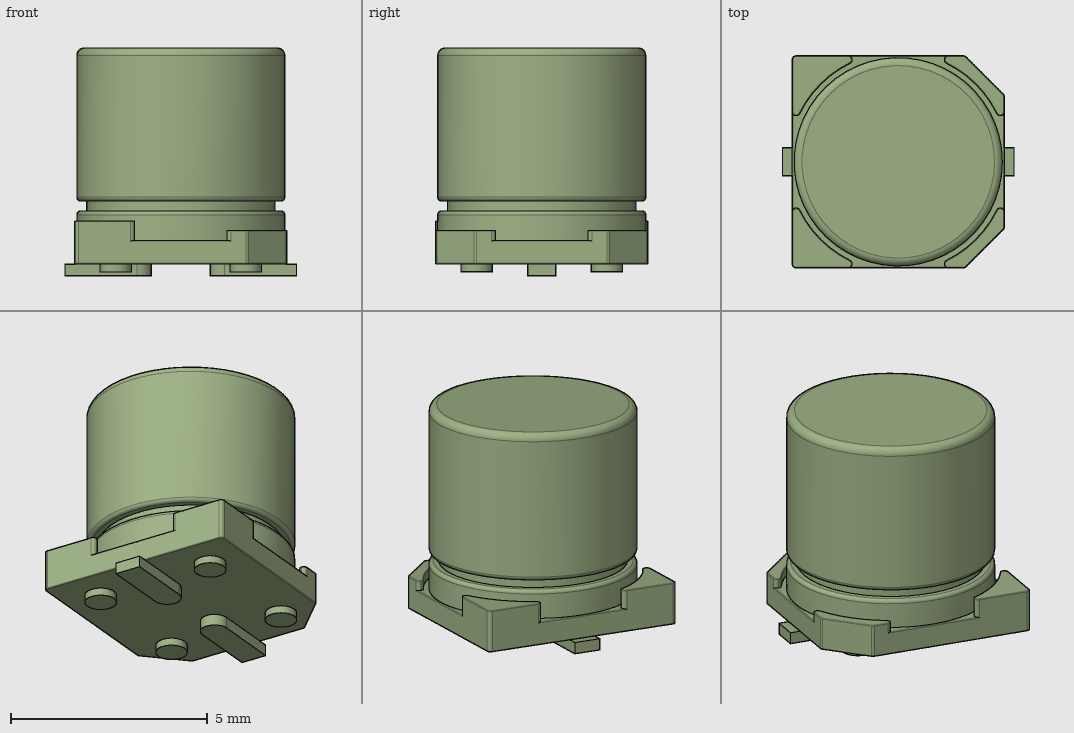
import cadquery as cq

total_height = 5.8
lead_span = 5.9
lead_width = 0.72
lead_thickness = 0.3
lead_straight_end = 1.11

base_size = 5.4
base_bottom = lead_thickness
base_floor = 0.9
corner_clip = 1.005
corner_radius = 0.1
edge_break = 0.02

tall_pad_top = 1.4
low_pad_top = 1.155
slot_half_width = 1.175
pad_bore_radius = 2.79

can_diameter = 5.3
can_top_radius = 0.2
groove_diameter = 4.8
groove_bottom = 1.65
groove_top = 1.9
groove_lip_radius = 0.1

standoff_diameter = 0.8
standoff_offset = 1.66
standoff_bottom = 0.1

half_base = base_size / 2


def base_prism(bottom, top):
    """Base outline with its rounded corners, extruded between two heights."""
    clip_start = half_base - corner_clip
    outline = [
        (-half_base, -half_base),
        (clip_start, -half_base),
        (half_base, -clip_start),
        (half_base, clip_start),
        (clip_start, half_base),
        (-half_base, half_base),
    ]
    prism = cq.Workplane("XY").workplane(offset=bottom).polyline(outline).close().extrude(top - bottom)
    return prism.edges("|Z").fillet(corner_radius)


def make_plate():
    """Flat lower part of the base with broken outer edges."""
    return base_prism(base_bottom, base_floor).faces("<Z or >Z").edges().fillet(edge_break)


def make_pad(x_side, y_side, top):
    """One corner pad, hollowed around the can; it starts inside the plate."""
    bottom = base_bottom + edge_break
    height = top - bottom
    corner_length = half_base - slot_half_width
    corner_center = (half_base + slot_half_width) / 2
    corner_box = (
        cq.Workplane("XY")
        .workplane(offset=bottom)
        .center(x_side * corner_center, y_side * corner_center)
        .rect(corner_length, corner_length)
        .extrude(height)
    )
    bore = cq.Workplane("XY").workplane(offset=bottom).circle(pad_bore_radius).extrude(height)
    pad = base_prism(bottom, top).intersect(corner_box).cut(bore)

    tip_reach = (pad_bore_radius**2 - slot_half_width**2) ** 0.5
    rounded_corners = [
        (slot_half_width, tip_reach),
        (tip_reach, slot_half_width),
        (slot_half_width, half_base),
        (half_base, slot_half_width),
    ]
    for x, y in rounded_corners:
        edge_middle = (x_side * x, y_side * y, (bottom + top) / 2)
        pad = pad.edges(cq.selectors.NearestToPointSelector(edge_middle)).fillet(corner_radius)
    return pad.faces(">Z").edges().fillet(edge_break)


def make_can():
    """Can with a crimp groove, rounded groove lips and a rounded top rim."""
    lower_band = (
        cq.Workplane("XY")
        .workplane(offset=base_floor)
        .circle(can_diameter / 2)
        .extrude(groove_bottom - base_floor)
        .faces(">Z")
        .edges()
        .fillet(groove_lip_radius)
    )
    neck = (
        cq.Workplane("XY")
        .workplane(offset=groove_bottom)
        .circle(groove_diameter / 2)
        .extrude(groove_top - groove_bottom)
    )
    upper_body = (
        cq.Workplane("XY")
        .workplane(offset=groove_top)
        .circle(can_diameter / 2)
        .extrude(total_height - groove_top)
        .faces("<Z")
        .edges()
        .fillet(groove_lip_radius)
        .faces(">Z")
        .edges()
        .fillet(can_top_radius)
    )
    return lower_band.union(neck).union(upper_body)


def make_lead(x_side):
    """Flat lead leaving the base on one side, with a rounded inner end."""
    half_width = lead_width / 2
    outer_x = x_side * lead_span / 2
    inner_x = x_side * lead_straight_end
    tip_x = x_side * (lead_straight_end - half_width)
    return (
        cq.Workplane("XY")
        .moveTo(outer_x, -half_width)
        .lineTo(inner_x, -half_width)
        .threePointArc((tip_x, 0), (inner_x, half_width))
        .lineTo(outer_x, half_width)
        .close()
        .extrude(lead_thickness)
    )


def make_standoffs():
    """Four round feet in a square pattern."""
    return (
        cq.Workplane("XY")
        .workplane(offset=standoff_bottom)
        .rect(2 * standoff_offset, 2 * standoff_offset, forConstruction=True)
        .vertices()
        .circle(standoff_diameter / 2)
        .extrude(base_bottom - standoff_bottom)
    )


result = make_plate().union(make_can()).union(make_standoffs())
for side in (-1, 1):
    result = result.union(make_lead(side))
for x_side, pad_top in ((-1, tall_pad_top), (1, low_pad_top)):
    for y_side in (-1, 1):
        result = result.union(make_pad(x_side, y_side, pad_top))